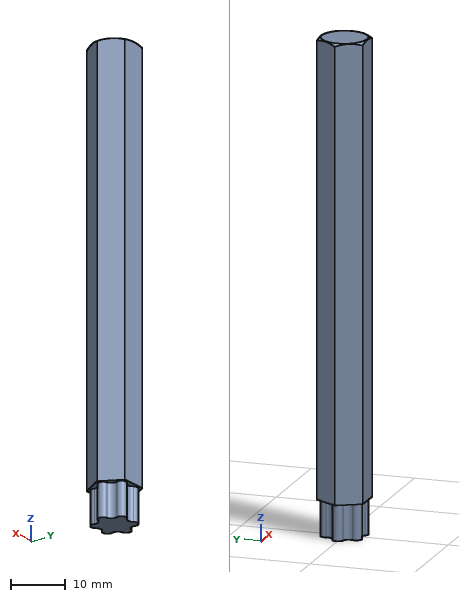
import cadquery as cq
import math

total_length = 95.0
tip_length = 7.0
hex_across_corners = 10.4
axis_rotation = -1.5
corner_count = 6

top_face_radius = 4.4
chamfer_angle = 30.0

lobe_tip_radius = 4.5
valley_radius = 3.2
lobe_rounding = 1.0

lobe_step = 360.0 / corner_count
half_step = lobe_step / 2
lobe_center = lobe_tip_radius - lobe_rounding
lobe_reach = lobe_center * math.cos(math.radians(half_step))
valley_rounding = (
    (lobe_center**2 + valley_radius**2 - 2 * lobe_reach * valley_radius - lobe_rounding**2)
    / (2 * (lobe_rounding - valley_radius + lobe_reach))
)
valley_center = valley_radius + valley_rounding


def polar(radius, angle):
    """Point at a radius and an angle in degrees about the part axis."""
    return (radius * math.cos(math.radians(angle)), radius * math.sin(math.radians(angle)))


def tangent_point(lobe_angle, valley_angle):
    """Point where a lobe arc runs into the neighbouring valley arc."""
    lobe_x, lobe_y = polar(lobe_center, lobe_angle)
    valley_x, valley_y = polar(valley_center, valley_angle)
    share = lobe_rounding / (lobe_rounding + valley_rounding)
    return (lobe_x + share * (valley_x - lobe_x), lobe_y + share * (valley_y - lobe_y))


def make_hex_shank():
    """Hexagonal bar whose top corners are cut by a cone."""
    corner_radius = hex_across_corners / 2
    chamfer_drop = (corner_radius - top_face_radius) * math.tan(math.radians(chamfer_angle))
    bar = (
        cq.Workplane("XY")
        .workplane(offset=tip_length)
        .polygon(corner_count, hex_across_corners)
        .extrude(total_length - tip_length)
    )
    envelope = (
        cq.Workplane("XZ")
        .moveTo(0, 0)
        .lineTo(corner_radius, 0)
        .lineTo(corner_radius, total_length - chamfer_drop)
        .lineTo(top_face_radius, total_length)
        .lineTo(0, total_length)
        .close()
        .revolve(360, (0, 0, 0), (0, 1, 0))
    )
    return bar.intersect(envelope)


def make_lobed_tip():
    """Six-lobed driver tip of alternating convex and concave arcs."""
    outline = cq.Workplane("XY").moveTo(*tangent_point(0, -half_step))
    for index in range(corner_count):
        lobe_angle = index * lobe_step
        valley_angle = lobe_angle + half_step
        next_lobe_angle = lobe_angle + lobe_step
        outline = outline.threePointArc(
            polar(lobe_tip_radius, lobe_angle), tangent_point(lobe_angle, valley_angle)
        )
        outline = outline.threePointArc(
            polar(valley_radius, valley_angle), tangent_point(next_lobe_angle, valley_angle)
        )
    return outline.close().extrude(tip_length)


result = make_hex_shank().union(make_lobed_tip()).rotate((0, 0, 0), (0, 0, 1), axis_rotation)